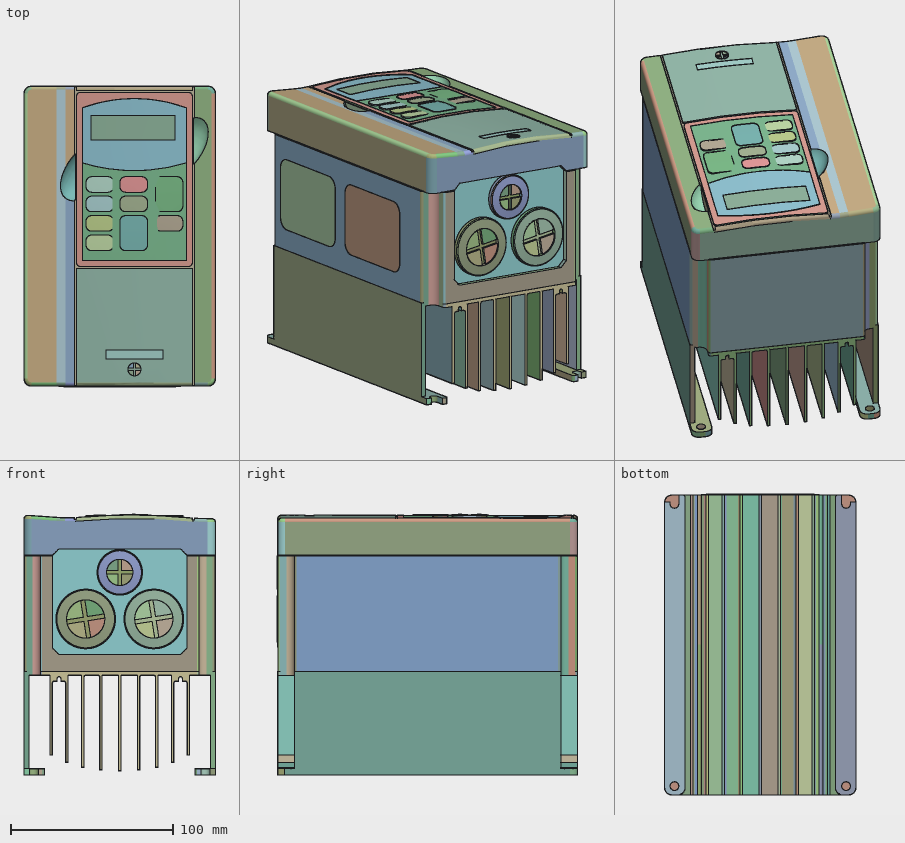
import cadquery as cq
import math

WIDTH = 118.11
HOUSING_DEPTH = 185.0
TOTAL_DEPTH = 185.48
TOTAL_HEIGHT = 160.8
HALF_W = WIDTH / 2
HALF_D = HOUSING_DEPTH / 2

PLATE_BOTTOM = 61.5
PLATE_TOP = 63.8
WALL = 3.2
FIN_THICK = 1.6
FIN_TIPS = [(0, 2.6), (11.6, 3.2), (22.8, 4.7), (32.6, 7.8), (42.3, 12.2)]
ROOT_RADIUS = 1.2
BOSS_BOTTOM = 57.8
SCREW_CHANNEL_WIDTH = 2.2
SCREW_CHANNEL_TOP = 60.6

FOOT_THICK = 4.0
FOOT_WIDTH = 12.7
FOOT_CORNER = 4.5
PRONG_CORNER = 1.5
PRONG_SETBACK = 4.4
MOUNT_X = 52.9
MOUNT_HOLE_D = 5.4
MOUNT_INSET = 5.5

NOTCH_X = 10.1
NOTCH_Y = 10.3
NOTCH_RADIUS = 4.7
BODY_INSET = 0.1
SIDE_CORNER = 1.6
END_CORNER = 1.3
SEAM_HEIGHT = 0.6
SEAM_DEPTH = 0.5
SIDE_PANEL_Y = (44.5, -27.3)
SIDE_PANEL_Z = 99.2
SIDE_PANEL_SIZE = (61.0, 44.8)
SIDE_PANEL_RADIUS = 7.0
SHALLOW = 0.2

COVER_BOTTOM = 135.5
COVER_CORNER = 4.7
COVER_FILLET = 2.3
KEY_RISE = 0.45
CROWN_X = 7.1
CROWN_Z = TOTAL_HEIGHT - KEY_RISE
CROWN_RADIUS = 370.0
LEFT_EDGE_Z = 160.3
LEFT_SLOPE_END = (-38.8, 158.9)
LEFT_LEDGE_END = (-33.4, 158.6)
RIGHT_EDGE_Z = 158.0
PANEL_LEFT = -27.3
PANEL_RIGHT = 45.4
PANEL_CENTRE = (PANEL_LEFT + PANEL_RIGHT) / 2
GROOVE_WIDTH = 1.2
GROOVE_DEPTH = 1.0

KEYPAD_TOP = 89.3
KEYPAD_BOTTOM = -19.3
KEYPAD_CORNER = 2.5
MEMBRANE_X = (-23.0, 41.0)
MEMBRANE_Y = (-15.0, 79.2)
MEMBRANE_ARC_TOP = 84.9
DISPLAY_ARC = (45.2, 40.4)
WINDOW_X = (-17.6, 34.2)
WINDOW_Y = (59.3, 74.3)
KEY_WIDTH = 17.0
KEY_HEIGHT = 9.6
KEY_PITCH = 12.0
KEY_RADIUS = 3.5
KEY_COLUMNS = (-12.3, 8.6, 30.4)
KEY_FIRST_ROW = 31.9
SCOOP_MAJOR = 21.7
SCOOP_MINOR = 12.3
SCOOP_SLANT = 36.7
SCOOP_INSET = 6.7
SCOOP_LIFT = 2.5
SCOOP_LEFT_Y = 40.3
SCOOP_RIGHT_Y = 54.7

LABEL_SIZE = (35.0, 5.5)
LABEL_Y = -72.9
SCREW_Y = -82.1
SCREW_RADIUS = 4.0
SCREW_SLOT = 1.4
SCREW_DEPTH = 0.5

ENTRY_HALF_WIDTH = 41.5
ENTRY_Z = (74.3, 139.4)
ENTRY_CHAMFER = 4.0
ENTRY_DEPTH = 3.2
CAP_EDGE = 0.6
CAP_SLOPE_DROP = 0.6
DISC_DEPTH = 1.0
SLOT_DEPTH = 1.6
CABLE_CAPS = [
    (0, 124.9, 14.0, 8.1, 2.2, 0),
    (-21.0, 96.2, 18.4, 11.8, 2.6, 9),
    (21.0, 96.2, 18.4, 11.8, 2.6, 9),
]


def block(x, y, z):
    """Box between pairs of limits along each axis."""
    size = (x[1] - x[0], y[1] - y[0], z[1] - z[0])
    return cq.Workplane("XY").box(*size, centered=False).translate((x[0], y[0], z[0]))


def crown(x):
    """Height of the arched panel at x."""
    return CROWN_Z - CROWN_RADIUS + math.sqrt(CROWN_RADIUS**2 - (x - CROWN_X) ** 2)


def notched_block(bottom, top, inset=0, side_corner=0):
    """Block with a concave notch at each vertical corner, set in from the full width and depth."""
    inner_w = HALF_W - NOTCH_X
    inner_d = HALF_D - NOTCH_Y
    outer_w = HALF_W - inset
    outer_d = HALF_D - inset
    sides = block((-outer_w, outer_w), (-inner_d, inner_d), (bottom, top))
    if side_corner:
        sides = sides.edges("|Z").fillet(side_corner)
    ends = block((-inner_w, inner_w), (-outer_d, outer_d), (bottom, top))
    solid = sides.union(ends.edges("|Z").fillet(END_CORNER))
    for sx in (-1, 1):
        for sy in (-1, 1):
            corner = cq.selectors.NearestToPointSelector((sx * inner_w, sy * inner_d, (bottom + top) / 2))
            solid = solid.edges("|Z").edges(corner).fillet(NOTCH_RADIUS)
    return solid


def foot(side):
    """Flange along one wall: slotted at -Y with a short outer prong, drilled at +Y."""
    x = sorted((side * HALF_W, side * (HALF_W - FOOT_WIDTH)))
    flange = block(x, (-HALF_D, HALF_D), (0, FOOT_THICK))
    flange = flange.edges("|Z and >Y").fillet(FOOT_CORNER)
    flange = flange.edges("|Z and <Y").fillet(PRONG_CORNER)
    outer_prong = sorted((side * HALF_W, side * MOUNT_X))
    flange = flange.cut(block(outer_prong, (-HALF_D, -HALF_D + PRONG_SETBACK), (0, FOOT_THICK)))
    mount_y = HALF_D - MOUNT_INSET
    holes = cq.Workplane("XY").pushPoints([(side * MOUNT_X, mount_y), (side * MOUNT_X, -mount_y)])
    flange = flange.cut(holes.circle(MOUNT_HOLE_D / 2).extrude(FOOT_THICK))
    half_slot = MOUNT_HOLE_D / 2
    slot_x = (side * MOUNT_X - half_slot, side * MOUNT_X + half_slot)
    return flange.cut(block(slot_x, (-HALF_D, -mount_y), (0, FOOT_THICK)))


def fin_gap_root(x_inner, x_outer, side, bottom):
    """Web between two fins, leaving a gap with rounded top corners."""
    x = sorted((side * x_inner, side * x_outer))
    y = (-HALF_D, HALF_D)
    web = block(x, y, (bottom - ROOT_RADIUS, PLATE_BOTTOM))
    half_fin = FIN_THICK / 2
    gap = block((x[0] + half_fin, x[1] - half_fin), y, (bottom - 2 * ROOT_RADIUS, bottom))
    return web.cut(gap.edges("|Y and >Z").fillet(ROOT_RADIUS))


def screw_channel(x):
    """Round-topped slot along Y under the boss between the two outer fins."""
    radius = SCREW_CHANNEL_WIDTH / 2
    centre_z = SCREW_CHANNEL_TOP - radius
    slot = block((x - radius, x + radius), (-HALF_D, HALF_D), (BOSS_BOTTOM, centre_z))
    bore = cq.Workplane("XZ").center(x, centre_z).circle(radius).extrude(HALF_D, both=True)
    return slot.union(bore)


def heat_sink():
    sink = notched_block(PLATE_BOTTOM, PLATE_TOP)
    wall_end = HALF_D - NOTCH_Y
    outer_x = [offset for offset, _ in FIN_TIPS]
    for side in (-1, 1):
        wall_x = sorted((side * HALF_W, side * (HALF_W - WALL)))
        sink = sink.union(block(wall_x, (-wall_end, wall_end), (0, PLATE_BOTTOM))).union(foot(side))
        for offset, tip in FIN_TIPS:
            x = side * offset
            fin = block((x - FIN_THICK / 2, x + FIN_THICK / 2), (-HALF_D, HALF_D), (tip, PLATE_BOTTOM))
            sink = sink.union(fin)
        sink = sink.union(fin_gap_root(outer_x[1], outer_x[2], side, PLATE_BOTTOM))
        sink = sink.union(fin_gap_root(outer_x[3], outer_x[4], side, BOSS_BOTTOM))
        sink = sink.cut(screw_channel(side * (outer_x[3] + outer_x[4]) / 2))
    return sink


def housing():
    body = notched_block(PLATE_TOP, COVER_BOTTOM - SEAM_HEIGHT, BODY_INSET, SIDE_CORNER)
    neck_w = HALF_W - NOTCH_X - SEAM_DEPTH
    neck_d = HALF_D - NOTCH_Y - SEAM_DEPTH
    seam_z = (COVER_BOTTOM - SEAM_HEIGHT, COVER_BOTTOM)
    side_w = HALF_W - SEAM_DEPTH
    end_d = HALF_D - SEAM_DEPTH
    body = body.union(block((-side_w, side_w), (-neck_d, neck_d), seam_z))
    body = body.union(block((-neck_w, neck_w), (-end_d, end_d), seam_z))
    for y in SIDE_PANEL_Y:
        face = cq.Workplane("YZ", origin=(BODY_INSET - HALF_W, y, SIDE_PANEL_Z))
        panel = face.rect(*SIDE_PANEL_SIZE).extrude(SHALLOW)
        body = body.cut(panel.edges("|X").fillet(SIDE_PANEL_RADIUS))
    return body


def cover():
    """Cap with a sloped left shoulder and an arched panel, rounded all round its top."""
    profile = (
        cq.Workplane("XZ")
        .moveTo(-HALF_W, COVER_BOTTOM)
        .lineTo(-HALF_W, LEFT_EDGE_Z)
        .lineTo(*LEFT_SLOPE_END)
        .lineTo(*LEFT_LEDGE_END)
        .lineTo(PANEL_LEFT, crown(PANEL_LEFT))
        .threePointArc((CROWN_X, CROWN_Z), (PANEL_RIGHT, crown(PANEL_RIGHT)))
        .lineTo(HALF_W, RIGHT_EDGE_Z)
        .lineTo(HALF_W, COVER_BOTTOM)
        .close()
    )
    cap = profile.extrude(HALF_D, both=True)
    cap = cap.edges("|Z").fillet(COVER_CORNER)
    rim = cap.faces("<X or >X or <Y or >Y").edges("not(|Z)").edges("not(<Z)")
    return rim.fillet(COVER_FILLET)


def below_crown(offset):
    """Solid under the arched panel surface raised by offset."""
    arch = cq.Workplane("XZ").center(CROWN_X, CROWN_Z - CROWN_RADIUS).circle(CROWN_RADIUS + offset)
    return arch.extrude(HALF_D, both=True)


def panel_outline(x, y):
    """Prism over a rectangle of the panel, reaching the full height of the part."""
    return block(x, y, (COVER_BOTTOM, TOTAL_HEIGHT))


def arched_outline(bottom_arc):
    """Membrane outline with an arched top; its lower edge is straight or bowed."""
    x_mid = (MEMBRANE_X[0] + MEMBRANE_X[1]) / 2
    outline = (
        cq.Workplane("XY", origin=(0, 0, COVER_BOTTOM))
        .moveTo(MEMBRANE_X[0], bottom_arc[0])
        .lineTo(MEMBRANE_X[0], MEMBRANE_Y[1])
        .threePointArc((x_mid, MEMBRANE_ARC_TOP), (MEMBRANE_X[1], MEMBRANE_Y[1]))
        .lineTo(MEMBRANE_X[1], bottom_arc[0])
    )
    if bottom_arc[0] != bottom_arc[1]:
        outline = outline.threePointArc((x_mid, bottom_arc[1]), (MEMBRANE_X[0], bottom_arc[0]))
    return outline.close().extrude(TOTAL_HEIGHT - COVER_BOTTOM)


def scoop(edge, outward, centre_y):
    """Slanted egg-shaped finger dent that stops at one long edge of the keypad."""
    egg = cq.Workplane("XY").ellipseArc(SCOOP_MINOR, SCOOP_MAJOR, -90, 90, startAtCurrent=False).close()
    egg = egg.revolve(360, (0, 0), (0, 1)).rotate((0, 0, 0), (0, 0, 1), -SCOOP_SLANT)
    egg = egg.translate((edge - outward * SCOOP_INSET, centre_y, crown(edge) + SCOOP_LIFT))
    beyond = sorted((edge, edge + outward * SCOOP_MAJOR))
    y_range = (centre_y - SCOOP_MAJOR, centre_y + SCOOP_MAJOR)
    return egg.intersect(panel_outline(beyond, y_range))


def keypad_grooves():
    """Two grooves along the panel edges and a rounded one around the keypad."""
    half = GROOVE_WIDTH / 2
    keypad = panel_outline((PANEL_LEFT - half, PANEL_RIGHT + half), (KEYPAD_BOTTOM - half, KEYPAD_TOP + half))
    inner = panel_outline((PANEL_LEFT + half, PANEL_RIGHT - half), (KEYPAD_BOTTOM + half, KEYPAD_TOP - half))
    grooves = keypad.cut(inner.edges("|Z").fillet(KEYPAD_CORNER))
    for x in (PANEL_LEFT, PANEL_RIGHT):
        grooves = grooves.union(panel_outline((x - half, x + half), (-HALF_D, HALF_D)))
    return grooves.cut(below_crown(-GROOVE_DEPTH))


def key(column, first_row, rows=1):
    """Domed key standing on the panel and spanning one or more rows."""
    height = KEY_HEIGHT + (rows - 1) * KEY_PITCH
    y_top = KEY_FIRST_ROW + KEY_HEIGHT / 2 - first_row * KEY_PITCH
    x = KEY_COLUMNS[column]
    prism = panel_outline((x - KEY_WIDTH / 2, x + KEY_WIDTH / 2), (y_top - height, y_top))
    half_diagonal = math.hypot(KEY_WIDTH, height) / 2
    dome_radius = half_diagonal**2 / (2 * KEY_RISE)
    dome = cq.Workplane("XY").sphere(dome_radius).rotate((0, 0, 0), (0, 1, 0), 90)
    dome = dome.translate((x, y_top - height / 2, crown(x) + KEY_RISE - dome_radius))
    return prism.edges("|Z").fillet(KEY_RADIUS).intersect(dome)


def add_keypad(cap):
    cap = cap.cut(scoop(PANEL_LEFT, -1, SCOOP_LEFT_Y)).cut(scoop(PANEL_RIGHT, 1, SCOOP_RIGHT_Y))
    cap = cap.cut(keypad_grooves())
    membrane = arched_outline((MEMBRANE_Y[0], MEMBRANE_Y[0]))
    display = arched_outline(DISPLAY_ARC)
    window = panel_outline(WINDOW_X, WINDOW_Y)
    for level, outline in enumerate((membrane, display, window), start=1):
        cap = cap.cut(outline.cut(below_crown(-level * SHALLOW)))
    for row in range(4):
        cap = cap.union(key(0, row))
    for row in range(2):
        cap = cap.union(key(1, row))
    return cap.union(key(1, 2, rows=2)).union(key(2, 0, rows=2)).union(key(2, 2))


def add_label_and_screw(cap):
    label_x = (PANEL_CENTRE - LABEL_SIZE[0] / 2, PANEL_CENTRE + LABEL_SIZE[0] / 2)
    label_y = (LABEL_Y - LABEL_SIZE[1] / 2, LABEL_Y + LABEL_SIZE[1] / 2)
    cap = cap.cut(panel_outline(label_x, label_y).cut(below_crown(-SHALLOW)))
    top = cq.Workplane("XY", origin=(PANEL_CENTRE, SCREW_Y, CROWN_Z))
    cap = cap.cut(top.circle(SCREW_RADIUS).extrude(-SCREW_DEPTH))
    for size in ((2 * SCREW_RADIUS, SCREW_SLOT), (SCREW_SLOT, 2 * SCREW_RADIUS)):
        cap = cap.cut(top.rect(*size).extrude(-2 * SCREW_DEPTH))
    return cap


def entry_recess():
    """Chamfered rectangular pocket in the -Y end."""
    pocket = block((-ENTRY_HALF_WIDTH, ENTRY_HALF_WIDTH), (-HALF_D, -HALF_D + ENTRY_DEPTH), ENTRY_Z)
    return pocket.edges("|Y").chamfer(ENTRY_CHAMFER)


def cable_cap(x, z, radius, disc_radius, slot_width, turn):
    """Round plug with a sloping ring, a sunk disc and a cross slot."""
    face_y = HALF_D - TOTAL_DEPTH
    floor_y = -HALF_D + ENTRY_DEPTH
    face = cq.Workplane("XZ", origin=(x, face_y, z))
    half_profile = (
        cq.Workplane("XY", origin=(x, face_y, z))
        .lineTo(disc_radius, 0)
        .lineTo(radius - CAP_EDGE, CAP_SLOPE_DROP)
        .lineTo(radius, CAP_SLOPE_DROP + CAP_EDGE)
        .lineTo(radius, floor_y - face_y)
        .lineTo(0, floor_y - face_y)
        .close()
    )
    plug = half_profile.revolve(360, (0, 0), (0, 1))
    plug = plug.cut(face.circle(disc_radius).extrude(-DISC_DEPTH))
    cross = face.rect(2 * disc_radius, slot_width).extrude(-DISC_DEPTH - SLOT_DEPTH)
    cross = cross.union(face.rect(slot_width, 2 * disc_radius).extrude(-DISC_DEPTH - SLOT_DEPTH))
    cross = cross.rotate((x, 0, z), (x, -1, z), turn)
    disc = face.circle(disc_radius).extrude(face_y - floor_y)
    return plug.cut(cross.intersect(disc))


lid = add_label_and_screw(add_keypad(cover()))
result = heat_sink().union(housing()).union(lid).cut(entry_recess())
for cap_dimensions in CABLE_CAPS:
    result = result.union(cable_cap(*cap_dimensions))